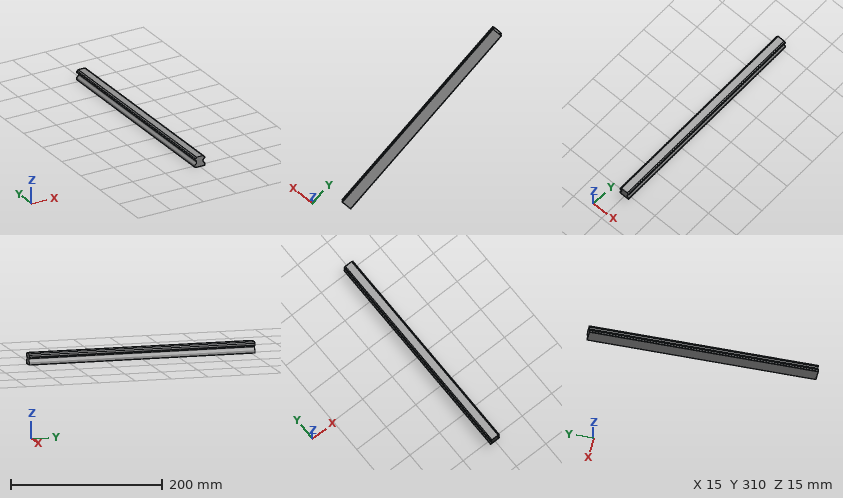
import cadquery as cq
import math

rail_length = 310.0
rail_width = 15.0
rail_height = 15.0
half_width = rail_width / 2

groove_radius = 1.8
top_corner = (5.3, rail_height)
upper_groove_lip = (6.7, 13.2)
lower_groove_lip = (6.7, 10.6)
lower_groove_root = (5.4, 8.9)
nose_fillet = 0.5

waist_half_width = 5.0
waist_top = 8.3
waist_bottom = 6.3
waist_fillet = 1.5
foot_shoulder_fillet = 1.0
foot_chamfer = 0.6

nose_top = upper_groove_lip[1] - (half_width - upper_groove_lip[0])
nose_bottom = lower_groove_lip[1] + (half_width - lower_groove_lip[0])
foot_side_top = waist_bottom - (half_width - waist_half_width)


def groove_middle(lower, upper):
    """Middle of the arc from lower to upper that sinks into the rail, on the -X side of its chord."""
    run = upper[0] - lower[0]
    rise = upper[1] - lower[1]
    chord = math.hypot(run, rise)
    depth = groove_radius - math.sqrt(groove_radius**2 - (chord / 2) ** 2)
    middle_x = (lower[0] + upper[0]) / 2 - depth * rise / chord
    middle_z = (lower[1] + upper[1]) / 2 + depth * run / chord
    return (middle_x, middle_z)


def make_half_rail():
    """The +X half of the rail, with sharp waist, foot and nose corners."""
    section = (
        cq.Workplane("XZ")
        .lineTo(half_width - foot_chamfer, 0)
        .lineTo(half_width, foot_chamfer)
        .lineTo(half_width, foot_side_top)
        .lineTo(waist_half_width, waist_bottom)
        .lineTo(waist_half_width, waist_top)
        .lineTo(*lower_groove_root)
        .threePointArc(groove_middle(lower_groove_root, lower_groove_lip), lower_groove_lip)
        .lineTo(half_width, nose_bottom)
        .lineTo(half_width, nose_top)
        .lineTo(*upper_groove_lip)
        .threePointArc(groove_middle(upper_groove_lip, top_corner), top_corner)
        .lineTo(0, rail_height)
        .close()
    )
    return section.extrude(rail_length / 2, both=True)


def round_long_edge(body, x, z, radius):
    """Fillet the lengthwise edge that passes through (x, z)."""
    edge = cq.selectors.NearestToPointSelector((x, 0, z))
    return body.edges("|Y").edges(edge).fillet(radius)


half_rail = make_half_rail()
half_rail = round_long_edge(half_rail, waist_half_width, waist_bottom, waist_fillet)
half_rail = round_long_edge(half_rail, half_width, foot_side_top, foot_shoulder_fillet)
for nose_corner in (nose_bottom, nose_top):
    half_rail = round_long_edge(half_rail, half_width, nose_corner, nose_fillet)

result = half_rail.union(half_rail.mirror("YZ")).clean()